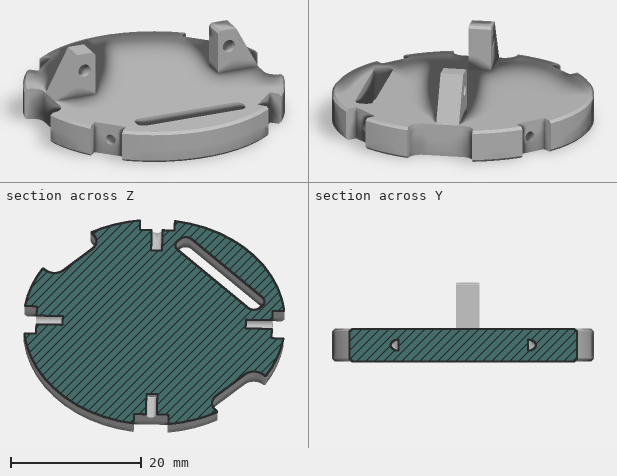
import cadquery as cq

disc_radius = 20.0
disc_thickness = 5.0
edge_chamfer = 0.4

end_notch_width = 10.0
end_notch_floor = 16.9
end_notch_fillet = 2.0

diagonal_notch_width = 5.2
diagonal_notch_floor = 18.0
diagonal_angles = (45, 135, 225, 315)
radial_hole_diameter = 1.6
radial_hole_depth = 4.0

slot_width = 2.9
slot_length = 18.0
slot_center_x = 13.8
slot_corner_radius = 1.2

lug_width = 3.5
lug_center_x = -0.7
lug_height = 7.0
lug_inner_y = 10.2
lug_top_outer_y = 13.2
lug_chamfer = 0.4
lug_hole_diameter = 2.0
lug_hole_y = 12.0
lug_hole_height = 4.25


def make_disc():
    disc = cq.Workplane("XY").circle(disc_radius).extrude(disc_thickness)
    return disc.edges().chamfer(edge_chamfer)


def make_end_notch():
    """Notch at +Y, running outward past the rim."""
    notch = (
        cq.Workplane("XY")
        .center(0, end_notch_floor + disc_radius / 2)
        .rect(end_notch_width, disc_radius)
        .extrude(disc_thickness)
    )
    return notch.edges("|Z and <Y").fillet(end_notch_fillet)


def make_diagonal_notch(angle):
    """Notch and radial hole, made along +X and turned to the given angle."""
    notch = (
        cq.Workplane("XY")
        .center(diagonal_notch_floor + disc_radius / 2, 0)
        .rect(disc_radius, diagonal_notch_width)
        .extrude(disc_thickness)
    )
    hole = (
        cq.Workplane("YZ", origin=(diagonal_notch_floor, 0, disc_thickness / 2))
        .circle(radial_hole_diameter / 2)
        .extrude(-radial_hole_depth)
    )
    return notch.union(hole).rotate((0, 0, 0), (0, 0, 1), angle)


def make_slot():
    slot = (
        cq.Workplane("XY")
        .center(slot_center_x, 0)
        .rect(slot_width, slot_length)
        .extrude(disc_thickness)
    )
    return slot.edges("|Z").fillet(slot_corner_radius)


def make_lug():
    """Lug at +Y: upright inner face, sloping outer face and a cross hole along X."""
    top = disc_thickness + lug_height
    profile_plane = cq.Workplane("YZ", origin=(lug_center_x - lug_width / 2, 0, 0))
    body = (
        profile_plane
        .moveTo(lug_inner_y, disc_thickness)
        .lineTo(end_notch_floor, disc_thickness)
        .lineTo(lug_top_outer_y, top)
        .lineTo(lug_inner_y + lug_chamfer, top)
        .lineTo(lug_inner_y, top - lug_chamfer)
        .close()
        .extrude(lug_width)
    )
    hole = (
        profile_plane
        .center(lug_hole_y, disc_thickness + lug_hole_height)
        .circle(lug_hole_diameter / 2)
        .extrude(lug_width)
    )
    return body.cut(hole)


result = make_disc().cut(make_slot())

for notch_angle in diagonal_angles:
    result = result.cut(make_diagonal_notch(notch_angle))

end_notch = make_end_notch()
result = result.cut(end_notch).cut(end_notch.mirror("XZ"))

lug = make_lug()
result = result.union(lug).union(lug.mirror("XZ"))